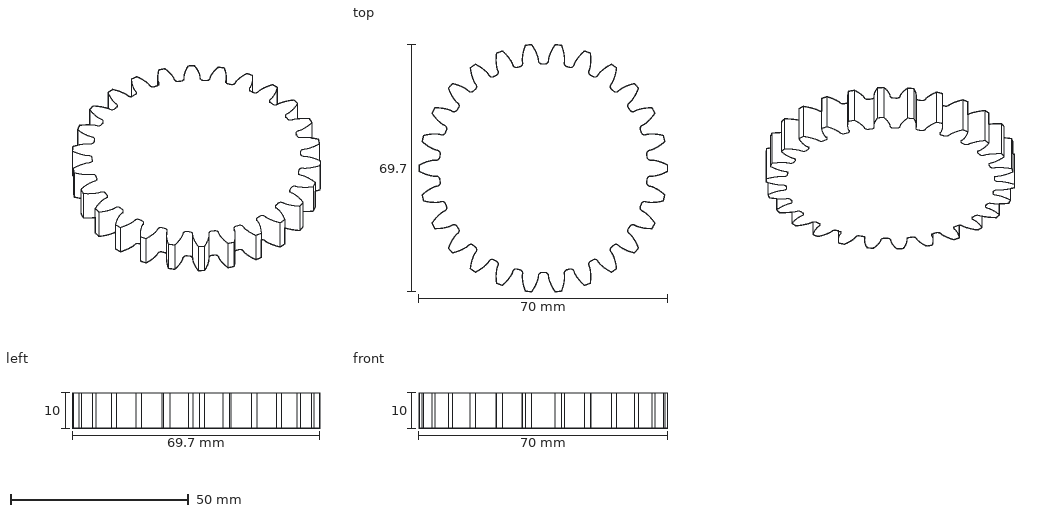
import cadquery as cq
import math

MODULE = 2.5
TEETH = 26
PRESSURE_ANGLE = math.radians(20)
THICKNESS = 10.0

ADDENDUM_FACTOR = 1.0
DEDENDUM_FACTOR = 1.25
ROOT_FILLET_FACTOR = 0.38

SPANS_PER_HALF = 4

PITCH_RADIUS = MODULE * TEETH / 2
TIP_RADIUS = PITCH_RADIUS + ADDENDUM_FACTOR * MODULE
ROOT_RADIUS = PITCH_RADIUS - DEDENDUM_FACTOR * MODULE
BASE_RADIUS = PITCH_RADIUS * math.cos(PRESSURE_ANGLE)
ROOT_FILLET = ROOT_FILLET_FACTOR * MODULE

TOOTH_PITCH = 2 * math.pi / TEETH
HALF_TOOTH_AT_BASE = TOOTH_PITCH / 4 + math.tan(PRESSURE_ANGLE) - PRESSURE_ANGLE
TIP_ROLL = math.sqrt((TIP_RADIUS / BASE_RADIUS) ** 2 - 1)
MIDDLE_ROLL = TIP_ROLL / 2


def polar(radius, angle):
    return (radius * math.cos(angle), radius * math.sin(angle))


def flank_point(centre, side, roll):
    """Involute point at a roll angle; side is -1 or +1 from the tooth centre line."""
    radius = BASE_RADIUS * math.sqrt(1 + roll**2)
    angle = HALF_TOOTH_AT_BASE - (roll - math.atan(roll))
    return polar(radius, centre + side * angle)


def flank_direction(centre, side, roll, outward):
    """Unit tangent of the involute; outward is +1 towards the tip, -1 towards the root."""
    return polar(outward, centre + side * (HALF_TOOTH_AT_BASE - roll))


def add_flank_half(outline, centre, side, start_roll, end_roll):
    """Continue the outline along the involute between two roll angles."""
    outward = 1 if end_roll > start_roll else -1
    step = (end_roll - start_roll) / SPANS_PER_HALF
    rolls = [start_roll + i * step for i in range(1, SPANS_PER_HALF + 1)]
    points = [flank_point(centre, side, roll) for roll in rolls]
    tangents = [flank_direction(centre, side, roll, outward) for roll in (start_roll, end_roll)]
    return outline.spline(points, tangents=tangents, includeCurrent=True)


def add_tooth(outline, centre):
    """Continue the outline over one tooth and along the root to the next tooth."""
    outline = outline.lineTo(*flank_point(centre, -1, 0))
    outline = add_flank_half(outline, centre, -1, 0, MIDDLE_ROLL)
    outline = add_flank_half(outline, centre, -1, MIDDLE_ROLL, TIP_ROLL)
    outline = outline.threePointArc(polar(TIP_RADIUS, centre), flank_point(centre, 1, TIP_ROLL))
    outline = add_flank_half(outline, centre, 1, TIP_ROLL, MIDDLE_ROLL)
    outline = add_flank_half(outline, centre, 1, MIDDLE_ROLL, 0)
    outline = outline.lineTo(*polar(ROOT_RADIUS, centre + HALF_TOOTH_AT_BASE))
    gap_middle = polar(ROOT_RADIUS, centre + TOOTH_PITCH / 2)
    next_foot = polar(ROOT_RADIUS, centre + TOOTH_PITCH - HALF_TOOTH_AT_BASE)
    return outline.threePointArc(gap_middle, next_foot)


def gear_blank():
    """Toothed disc with sharp root corners; one tooth is centred on +X."""
    outline = cq.Workplane("XY").moveTo(*polar(ROOT_RADIUS, -HALF_TOOTH_AT_BASE))
    for tooth in range(TEETH):
        outline = add_tooth(outline, tooth * TOOTH_PITCH)
    return outline.close().extrude(THICKNESS)


def round_tooth_roots(gear):
    """Fillet the vertical edges where the teeth meet the root circle."""
    radius_limit = (ROOT_RADIUS + BASE_RADIUS) / 2
    root_edges = [
        edge
        for edge in gear.edges("|Z").vals()
        if math.hypot(edge.Center().x, edge.Center().y) < radius_limit
    ]
    return gear.newObject(root_edges).fillet(ROOT_FILLET)


result = round_tooth_roots(gear_blank())